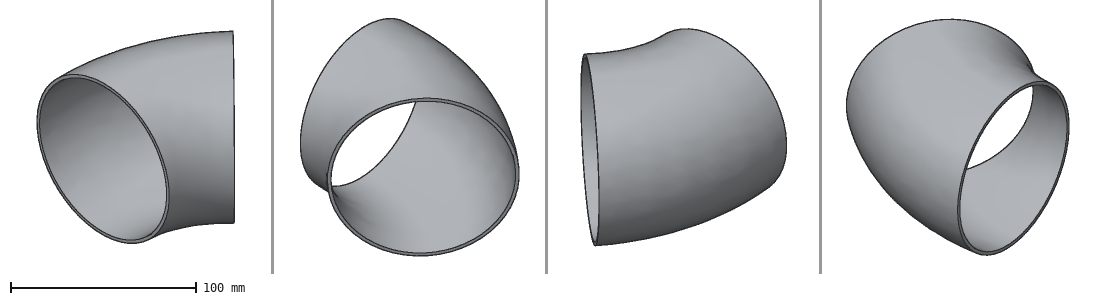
import cadquery as cq
import math

BEND_RADIUS = 100.0
BEND_ANGLE = 45.0
INLET_DIAMETER = 100.0
OUTLET_DIAMETER = 103.75
WALL = 2.0

BEND_CENTRE = cq.Vector(BEND_RADIUS, 0, 0)


def centreline_point(angle):
    """Point on the bend centreline, `angle` degrees from the inlet."""
    a = math.radians(angle)
    return BEND_CENTRE + cq.Vector(-math.cos(a), math.sin(a), 0) * BEND_RADIUS


def section_plane(angle):
    """Plane square to the centreline, `angle` degrees from the inlet."""
    a = math.radians(angle)
    tangent = cq.Vector(math.sin(a), math.cos(a), 0)
    return cq.Plane(origin=centreline_point(angle), xDir=(0, 0, 1), normal=tangent)


def section(angle, diameter):
    """Round section wire square to the centreline at `angle`."""
    return cq.Workplane(section_plane(angle)).circle(diameter / 2).wire().val()


def centreline():
    """Circular arc followed by the bend."""
    start = centreline_point(0)
    middle = centreline_point(BEND_ANGLE / 2)
    end = centreline_point(BEND_ANGLE)
    return cq.Wire.assembleEdges([cq.Edge.makeThreePointArc(start, middle, end)])


def tapered_bend(inlet_diameter, outlet_diameter):
    """Solid bend whose round section grows from inlet to outlet."""
    sections = [section(0, inlet_diameter), section(BEND_ANGLE, outlet_diameter)]
    return cq.Workplane(cq.Solid.sweep_multi(sections, centreline()))


outer = tapered_bend(INLET_DIAMETER, OUTLET_DIAMETER)
bore = tapered_bend(INLET_DIAMETER - 2 * WALL, OUTLET_DIAMETER - 2 * WALL)
result = outer.cut(bore)